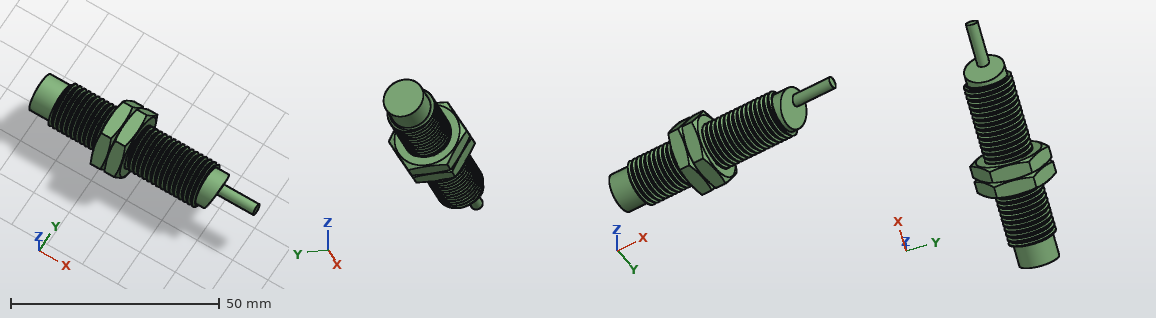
import cadquery as cq
import math

thread_start = 6.0
thread_end = 47.05
total_length = 61.1

nose_diameter = 10.0
thread_major_diameter = 12.0
thread_root_diameter = 10.65
thread_turns = 32
first_ridge = 6.3
last_ridge = 46.85
thread_pitch = (last_ridge - first_ridge) / thread_turns
thread_crest_width = 0.25
thread_base_width = 1.0
root_embed = 0.1
cap_top_end = 51.6
cap_bottom_end = 48.15
cable_diameter = 3.0
cable_height = 2.3

nut_start = 19.7
nut_width = 4.0
nut_count = 2
nut_across_flats = 17.0
nut_face_diameter = 16.4
nut_chamfer_angle = 20.0


def cylinder(start, end, diameter, height=0.0):
    """Cylinder along X between two positions, with its axis at the given height."""
    return (
        cq.Workplane("YZ", origin=(start, 0, height))
        .circle(diameter / 2)
        .extrude(end - start)
    )


def make_thread_ridge():
    """Right-handed helical ridge, trimmed flat at both ends of the barrel."""
    root_radius = thread_root_diameter / 2
    inner_radius = root_radius - root_embed
    crest_radius = thread_major_diameter / 2
    flank_slope = (thread_base_width - thread_crest_width) / 2 / (crest_radius - root_radius)
    inner_half_width = thread_base_width / 2 + flank_slope * root_embed
    crest_half_width = thread_crest_width / 2

    helix_length = (thread_turns + 2) * thread_pitch
    helix = cq.Wire.makeHelix(thread_pitch, helix_length, root_radius)
    ridge = (
        cq.Workplane("XZ")
        .polyline([
            (inner_radius, -inner_half_width),
            (crest_radius, -crest_half_width),
            (crest_radius, crest_half_width),
            (inner_radius, inner_half_width),
        ])
        .close()
        .sweep(cq.Workplane(obj=helix), isFrenet=True)
        .rotate((0, 0, 0), (0, 1, 0), 90)
        .translate((first_ridge - thread_pitch, 0, 0))
    )
    block_size = 2 * thread_major_diameter
    for end, outward in ((thread_start, -1), (thread_end, 1)):
        block = cq.Workplane("XY").box(block_size, block_size, block_size)
        ridge = ridge.cut(block.translate((end + outward * block_size / 2, 0, 0)))
    return ridge


def make_end_cap():
    """Cylindrical cap whose rear face slants from the top down to the barrel."""
    radius = nose_diameter / 2
    side_profile = (
        cq.Workplane("XZ")
        .polyline([
            (thread_end, -radius),
            (cap_bottom_end, -radius),
            (cap_top_end, radius),
            (thread_end, radius),
        ])
        .close()
        .extrude(radius, both=True)
    )
    return cylinder(thread_end, cap_top_end, nose_diameter).intersect(side_profile)


def make_sensor():
    nose = cylinder(0, thread_start, nose_diameter)
    core = cylinder(thread_start, thread_end, thread_root_diameter)
    cable = cylinder(thread_end, total_length, cable_diameter, cable_height)
    smooth_body = core.union(nose).union(make_end_cap()).union(cable)
    return smooth_body.union(make_thread_ridge(), clean=False)


def make_nut(start):
    """Hexagon with flats at top and bottom, chamfered on both end faces."""
    corner_radius = nut_across_flats / math.sqrt(3)
    face_radius = nut_face_diameter / 2
    chamfer = (corner_radius - face_radius) * math.tan(math.radians(nut_chamfer_angle))
    end = start + nut_width
    hexagon = (
        cq.Workplane("YZ", origin=(start, 0, 0))
        .polygon(6, 2 * corner_radius)
        .extrude(nut_width)
    )
    envelope = (
        cq.Workplane("XY")
        .polyline([
            (start, 0),
            (start, face_radius),
            (start + chamfer, corner_radius),
            (end - chamfer, corner_radius),
            (end, face_radius),
            (end, 0),
        ])
        .close()
        .revolve(360, (0, 0, 0), (1, 0, 0))
    )
    return hexagon.intersect(envelope)


def make_nut_pair():
    """Nuts joined face to face, bored to sit on the thread crests."""
    nuts = make_nut(nut_start)
    for index in range(1, nut_count):
        nuts = nuts.union(make_nut(nut_start + index * nut_width))
    bore = cylinder(nut_start, nut_start + nut_count * nut_width, thread_major_diameter)
    return nuts.cut(bore)


sensor = make_sensor()
nut_pair = make_nut_pair()
result = cq.Compound.makeCompound([sensor.solids().val(), nut_pair.solids().val()])